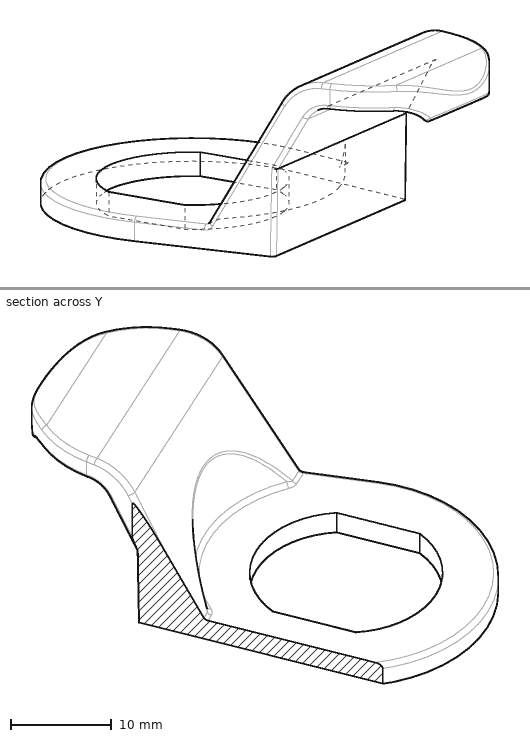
import cadquery as cq
import math

ring_radius = 15.15
plate_thickness = 2.5
hole_radius = 9.6
hole_flat_width = 17.0

length = 48.0
tip_radius = 11.5
tip_centre_x = length - ring_radius - tip_radius

height = 18.5
top_thickness = 2.65
ramp_thickness = 3.1
ramp_foot_x = 10.2
ramp_angle = 60.0
bend_outer_radius = 5.0
bend_inner_radius = 2.5

back_foot_x = 17.4
draft_angle = 1.0

lip_outer_start_x = 28.95
lip_outer_radius = 5.0
lip_outer_turn = 65.0
lip_inner_start_x = 28.75
lip_inner_radius = 2.0
lip_inner_turn = 80.0

edge_radius = 0.5

tolerance = 0.01


def make_plan():
    """Ring and tip circles joined by their common tangents, full height."""
    lean = math.asin((ring_radius - tip_radius) / tip_centre_x)
    ring_x = ring_radius * math.sin(lean)
    ring_y = ring_radius * math.cos(lean)
    tip_x = tip_centre_x + tip_radius * math.sin(lean)
    tip_y = tip_radius * math.cos(lean)
    return (
        cq.Workplane("XY")
        .moveTo(ring_x, ring_y)
        .threePointArc((-ring_radius, 0), (ring_x, -ring_y))
        .lineTo(tip_x, -tip_y)
        .threePointArc((tip_centre_x + tip_radius, 0), (tip_x, tip_y))
        .close()
        .extrude(height)
    )


def arc_point(centre, radius, turn):
    """XZ point on an arc, with the turn in degrees from straight up towards +X."""
    angle = math.radians(turn)
    return (centre[0] + radius * math.sin(angle), centre[1] + radius * math.cos(angle))


def make_side_profile():
    """Plate, ramp, bend and lip as one XZ outline, extruded across the width."""
    ramp = math.radians(ramp_angle)
    slope = math.tan(ramp)
    underside_z = height - top_thickness

    bend_outer_z = height - bend_outer_radius
    bend_low_z = bend_outer_z + bend_outer_radius * math.cos(ramp)
    bend_low_x = ramp_foot_x + (bend_low_z - plate_thickness) / slope
    bend_outer_centre = (bend_low_x + bend_outer_radius * math.sin(ramp), bend_outer_z)

    rear_foot_x = ramp_foot_x + ramp_thickness / math.sin(ramp)
    rear_top_z = underside_z - bend_inner_radius * (1 - math.cos(ramp))
    rear_top_x = rear_foot_x + (rear_top_z - plate_thickness) / slope
    bend_inner_centre = (
        rear_top_x + bend_inner_radius * math.sin(ramp),
        underside_z - bend_inner_radius,
    )

    draft = math.tan(math.radians(draft_angle))
    back_top_z = (back_foot_x - rear_foot_x + plate_thickness / slope) / (1 / slope - draft)
    back_top_x = back_foot_x + back_top_z * draft

    lip_outer_centre = (lip_outer_start_x, height - lip_outer_radius)
    lip_inner_centre = (lip_inner_start_x, underside_z - lip_inner_radius)

    return (
        cq.Workplane("XZ")
        .moveTo(-ring_radius, 0)
        .lineTo(-ring_radius, plate_thickness)
        .lineTo(ramp_foot_x, plate_thickness)
        .lineTo(bend_low_x, bend_low_z)
        .threePointArc(
            arc_point(bend_outer_centre, bend_outer_radius, -ramp_angle / 2),
            arc_point(bend_outer_centre, bend_outer_radius, 0),
        )
        .lineTo(lip_outer_start_x, height)
        .threePointArc(
            arc_point(lip_outer_centre, lip_outer_radius, lip_outer_turn / 2),
            arc_point(lip_outer_centre, lip_outer_radius, lip_outer_turn),
        )
        .lineTo(*arc_point(lip_inner_centre, lip_inner_radius, lip_inner_turn))
        .threePointArc(
            arc_point(lip_inner_centre, lip_inner_radius, lip_inner_turn / 2),
            arc_point(lip_inner_centre, lip_inner_radius, 0),
        )
        .lineTo(*arc_point(bend_inner_centre, bend_inner_radius, 0))
        .threePointArc(
            arc_point(bend_inner_centre, bend_inner_radius, -ramp_angle / 2),
            (rear_top_x, rear_top_z),
        )
        .lineTo(back_top_x, back_top_z)
        .lineTo(back_foot_x, 0)
        .close()
        .extrude(ring_radius, both=True)
    )


def make_recess():
    """Clearance above the plate that bites into the ramp and widens upwards."""
    return (
        cq.Workplane("XY", origin=(0, 0, plate_thickness))
        .circle(ring_radius)
        .extrude(height - plate_thickness, taper=-draft_angle)
    )


def make_hole():
    """Round hole with two flats parallel to X."""
    flats = cq.Workplane("XY").rect(2 * hole_radius, hole_flat_width).extrude(plate_thickness)
    return cq.Workplane("XY").circle(hole_radius).extrude(plate_thickness).intersect(flats)


def lies_on_outline(edge, outline):
    """True when the edge runs along the vertical side wall above the plan outline."""
    for fraction in (0, 0.5, 1):
        point = edge.positionAt(fraction)
        if outline.distance(cq.Vertex.makeVertex(point.x, point.y, 0)) > tolerance:
            return False
    return True


def is_rim_edge(edge, outline):
    """Side wall edges, without the base edges and the vertical seams of the wall."""
    box = edge.BoundingBox()
    is_base = box.zmax < tolerance
    is_seam = max(box.xlen, box.ylen) < tolerance
    return lies_on_outline(edge, outline) and not is_base and not is_seam


def is_ramp_foot_edge(edge):
    """Inside corner between the plate and the ramp, straight parts and recess arc."""
    box = edge.BoundingBox()
    is_at_plate_top = abs(box.zmin - plate_thickness) < tolerance and box.zlen < tolerance
    return is_at_plate_top and box.xmin > ramp_foot_x - tolerance


def is_rising_ramp_edge(edge):
    """Edges that climb from the ramp foot: the ramp sides and the recess arch."""
    box = edge.BoundingBox()
    return abs(box.zmin - plate_thickness) < tolerance and box.zlen > tolerance


def is_lip_end_edge(edge):
    """Straight lower edge where the inside of the lip meets its end face."""
    box = edge.BoundingBox()
    is_across = max(box.xlen, box.zlen) < tolerance
    end_x = lip_inner_start_x + lip_inner_radius * math.sin(math.radians(lip_inner_turn))
    return is_across and abs(box.xmin - end_x) < tolerance


def round_edges(body, plan):
    """Round the side wall rim, the ramp foot, the recess arch and the lip end."""
    outline = cq.Wire.assembleEdges(plan.faces("<Z").edges().vals())
    rounded = [
        edge
        for edge in body.edges().vals()
        if is_rim_edge(edge, outline)
        or is_ramp_foot_edge(edge)
        or is_rising_ramp_edge(edge)
        or is_lip_end_edge(edge)
    ]
    return body.newObject(rounded).fillet(edge_radius)


plan = make_plan()
body = plan.intersect(make_side_profile()).cut(make_recess())
result = round_edges(body, plan).cut(make_hole()).solids()